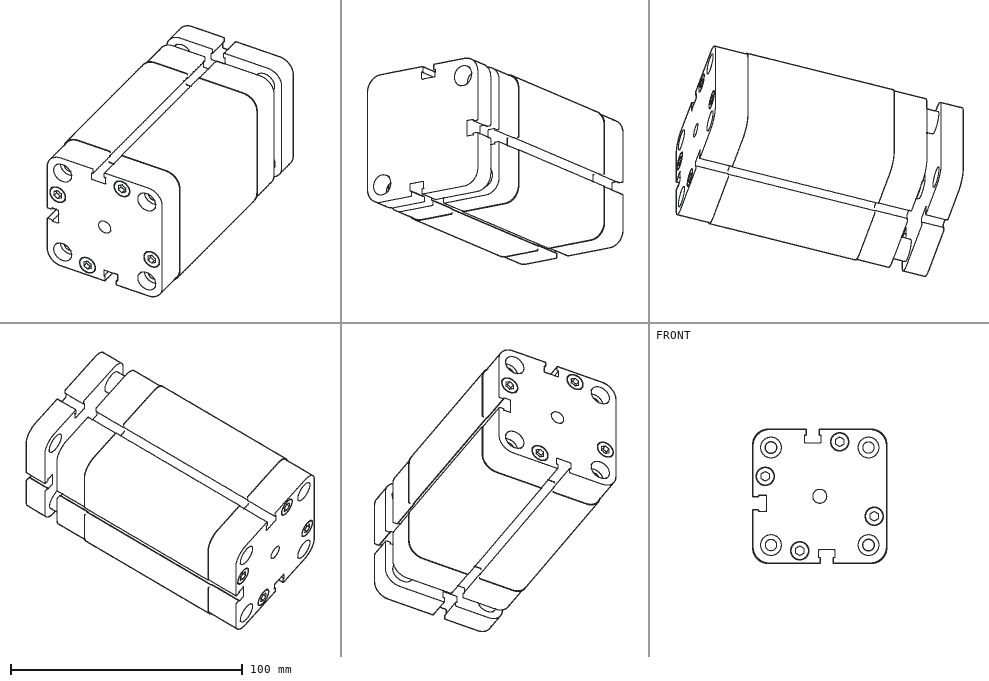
import cadquery as cq

total_length = 112.0
cap_length = 14.7
head_length = 14.8
plate_length = 10.0
gap_length = 6.5
plate_start = total_length - plate_length
head_end = plate_start - gap_length
barrel_end = head_end - head_length

barrel_side = 58.1
cap_side = 57.6
corner_radius = 7.0

slot_offset = 3.0
slot_neck_width = 5.5
slot_neck_depth = 2.5
slot_pocket_width = 7.0
barrel_slot_depth = 6.2
cap_slot_depth = 5.7
slot_lip_radius = 0.5
slot_root_radius = 0.3
slot_angles = (0, 90, 180)

hole_offset = 21.0
hole_diameter = 4.9
counterbore_diameter = 9.0
counterbore_depth = 5.6
plate_hole_diameter = 9.0

pin_offset = 20.3
pin_diameter = 10.0

rod_diameter = 12.0
rod_flat_width = 10.0
rod_embed = 3.4
rod_chamfer_radial = 0.7
rod_chamfer_length = 1.5
flat_length = 4.7
flat_runout = (rod_diameter - rod_flat_width) / 2

bore_diameter = 6.0
bore_depth = 9.0

screw_offset_far = 23.5
screw_offset_near = 8.6
screw_pocket_diameter = 8.0
screw_head_diameter = 7.5
screw_head_length = 4.5
hex_across_corners = 4.1
hex_depth = 2.2


def prism(side, start, length):
    """Square bar with rounded corners lying along Y."""
    bar = cq.Workplane("XY").box(side, length, side, centered=(True, False, True))
    return bar.edges("|Y").fillet(corner_radius).translate((0, start, 0))


def rod_along_y(diameter, start, length, x=0.0, z=0.0):
    """Round bar along Y whose near end is centred on (x, start, z)."""
    near_end = cq.Workplane("XZ", origin=(x, start, z))
    return near_end.circle(diameter / 2).extrude(-length)


def t_slot(side, depth):
    """T-slot cutter for the top side of a square bar, with rounded lips."""
    top = side / 2
    neck_half = slot_neck_width / 2
    pocket_half = slot_pocket_width / 2
    lip_bottom = top - slot_neck_depth
    floor = top - depth
    lip = slot_lip_radius
    profile = (
        cq.Workplane("XZ", origin=(-slot_offset, 0, 0))
        .moveTo(-neck_half - lip, top)
        .radiusArc((-neck_half, top - lip), lip)
        .lineTo(-neck_half, lip_bottom + lip)
        .radiusArc((-neck_half - lip, lip_bottom), lip)
        .lineTo(-pocket_half, lip_bottom)
        .lineTo(-pocket_half, floor)
        .lineTo(pocket_half, floor)
        .lineTo(pocket_half, lip_bottom)
        .lineTo(neck_half + lip, lip_bottom)
        .radiusArc((neck_half, lip_bottom + lip), lip)
        .lineTo(neck_half, top - lip)
        .radiusArc((neck_half + lip, top), lip)
        .close()
    )
    slot = profile.extrude(-total_length)
    return slot.edges("|Y").edges("<Z").fillet(slot_root_radius)


def slotted_prism(side, slot_depth, start, length):
    """Square bar with a T-slot along its top, left and bottom sides."""
    bar = prism(side, start, length)
    slot = t_slot(side, slot_depth)
    for angle in slot_angles:
        bar = bar.cut(slot.rotate((0, 0, 0), (0, 1, 0), -angle))
    return bar


def piston_rod():
    """Piston rod with a chamfered tip and two flats across X."""
    tip = plate_start
    radius = rod_diameter / 2
    root = head_end - rod_embed
    half_profile = [
        (0, root),
        (radius, root),
        (radius, tip - rod_chamfer_length),
        (radius - rod_chamfer_radial, tip),
        (0, tip),
    ]
    rod = cq.Workplane("XY").polyline(half_profile).close().revolve(360, (0, 0, 0), (0, 1, 0))
    half_flat = rod_flat_width / 2
    flat_start = tip - flat_length
    flat_cut = (
        cq.Workplane("XY", origin=(0, 0, -radius))
        .moveTo(half_flat, tip)
        .lineTo(half_flat, flat_start)
        .lineTo(half_flat + flat_runout, flat_start - flat_runout)
        .lineTo(half_flat + flat_runout, tip)
        .close()
        .extrude(rod_diameter)
    )
    return rod.cut(flat_cut).cut(flat_cut.mirror("YZ"))


def cap_screw():
    """Socket head filling most of its pocket, centred on the Y axis."""
    head = rod_along_y(screw_head_diameter, 0, screw_head_length)
    socket = cq.Workplane("XZ").polygon(6, hex_across_corners).extrude(-hex_depth)
    return head.cut(socket.rotate((0, 0, 0), (0, 1, 0), 90))


housing = (
    slotted_prism(cap_side, cap_slot_depth, 0, cap_length)
    .union(slotted_prism(barrel_side, barrel_slot_depth, cap_length, barrel_end - cap_length))
    .union(slotted_prism(cap_side, cap_slot_depth, barrel_end, head_length))
)
plate = slotted_prism(cap_side, cap_slot_depth, plate_start, plate_length)

for x_sign in (-1, 1):
    for z_sign in (-1, 1):
        x = x_sign * hole_offset
        z = z_sign * hole_offset
        housing = housing.cut(rod_along_y(hole_diameter, 0, head_end, x, z))
        housing = housing.cut(rod_along_y(counterbore_diameter, 0, counterbore_depth, x, z))
        if x_sign != z_sign:
            plate = plate.cut(rod_along_y(plate_hole_diameter, plate_start, plate_length, x, z))

housing = housing.cut(rod_along_y(bore_diameter, 0, bore_depth))

screw_spots = (
    (screw_offset_near, screw_offset_far),
    (-screw_offset_far, screw_offset_near),
    (-screw_offset_near, -screw_offset_far),
    (screw_offset_far, -screw_offset_near),
)
for x, z in screw_spots:
    housing = housing.cut(rod_along_y(screw_pocket_diameter, 0, screw_head_length, x, z))
    housing = housing.union(cap_screw().translate((x, 0, z)))

result = housing.union(plate).union(piston_rod())
for sign in (-1, 1):
    shift = sign * pin_offset
    pin = rod_along_y(pin_diameter, barrel_end, plate_start - barrel_end, shift, shift)
    result = result.union(pin)